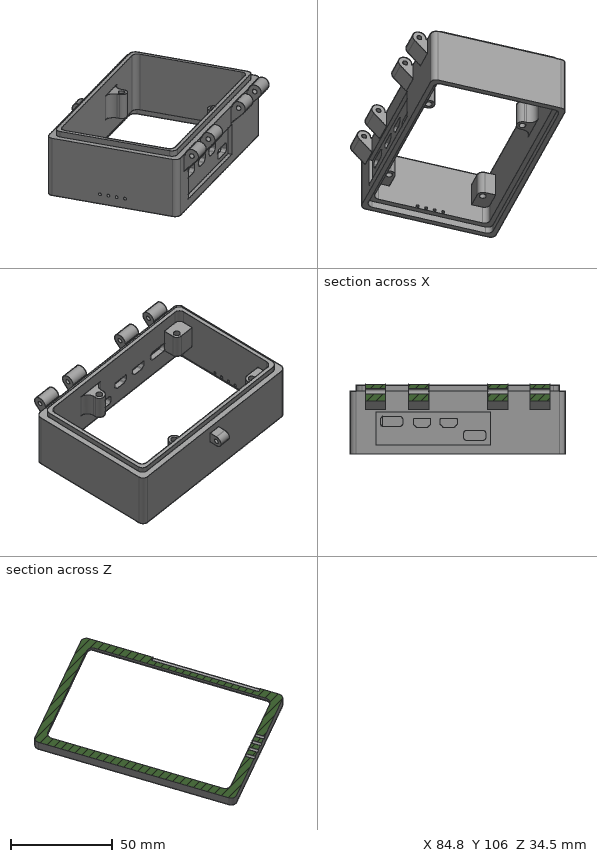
import cadquery as cq
import math

total_width = 84.8
body_length = 106.0
total_height = 34.5

body_width = 70.2
wall = 5.0
ledge = 3.0
corner_radius = 3.0
body_height = 31.1
lip_height = 3.0
rim_height = body_height + lip_height
cavity_width = body_width - 2 * wall
cavity_length = body_length - 2 * wall

rebate_setback = wall / 2
rebate_depth = 3.8

lug_radius = 3.0
lug_reach = 7.0
lug_length = 6.4
lug_axis_z = 24.1
pivot_diameter = 2.4

knuckle_radius = 3.5
knuckle_axis_z = total_height - knuckle_radius
knuckle_length = 10.1
knuckle_outer_x = total_width - body_width / 2 - lug_reach
knuckle_axis_x = knuckle_outer_x - knuckle_radius
knuckle_centres_y = (-40.5, -19.3, 19.7, 40.5)

boss_radius = 3.0
boss_hole_diameter = 3.3
boss_x = 24.5
rear_boss_y = 18.0
boss_spacing_y = 58.0
front_boss_y = rear_boss_y - boss_spacing_y
boss_bottom_z = 13.9
boss_height = 12.9
flare_radius = 4.5

indicator_diameter = 1.4
indicator_count = 4
indicator_pitch = 4.5
indicator_z = 5.2

rear_slot_y = 8.4
rear_slot_z = 9.2
front_slot_y = -32.5
front_slot_z = 16.1
wide_slot_length = 11.0
wide_slot_height = 5.1
wide_slot_corner = 1.7
bevelled_slots_y = (-4.5, -17.6)
bevelled_slot_length = 8.5
bevelled_slot_height = 4.5
bevelled_slot_bevel = 1.6
bevelled_slot_corner = 0.5
bevelled_slot_z = 15.4

recess_margin = 2.1
recess_depth = 2.0


def rounded_block(width, length, height):
    """Upright block with rounded vertical corners, standing on the base plane, centred on Z."""
    block = cq.Workplane("XY").rect(width, length).extrude(height)
    return block.edges("|Z").fillet(corner_radius)


def along_y(centre_y, length):
    """XZ sketch plane whose extrusion of the given length is centred on centre_y."""
    return cq.Workplane("XZ", origin=(0, centre_y + length / 2, 0))


def frame():
    body = rounded_block(body_width, body_length, body_height)
    lip = rounded_block(body_width - 2 * ledge, body_length - 2 * ledge, rim_height)
    cavity = rounded_block(cavity_width, cavity_length, rim_height)
    rebate = rounded_block(
        cavity_width + 2 * rebate_setback, cavity_length + 2 * rebate_setback, rebate_depth
    )
    return body.union(lip).cut(cavity).cut(rebate)


def latch_lug():
    root_x = -body_width / 2
    axis_x = root_x - lug_reach + lug_radius
    lug = (
        along_y(0, lug_length)
        .moveTo(root_x, lug_axis_z - lug_radius)
        .lineTo(axis_x, lug_axis_z - lug_radius)
        .threePointArc((axis_x - lug_radius, lug_axis_z), (axis_x, lug_axis_z + lug_radius))
        .lineTo(root_x, lug_axis_z + lug_radius)
        .close()
        .extrude(lug_length)
    )
    bore = along_y(0, lug_length).center(axis_x, lug_axis_z).circle(pivot_diameter / 2)
    return lug.cut(bore.extrude(lug_length))


def hinge_knuckle(centre_y):
    """Barrel with its axis just below the ledge, carried by a web with a 45 degree underside."""
    root_x = body_width / 2
    tangent = knuckle_radius * math.sqrt(0.5)
    tangent_x = knuckle_axis_x + tangent
    tangent_z = knuckle_axis_z - tangent
    web = (
        along_y(centre_y, knuckle_length)
        .moveTo(root_x, knuckle_axis_z)
        .lineTo(knuckle_axis_x, knuckle_axis_z)
        .lineTo(tangent_x, tangent_z)
        .lineTo(root_x, tangent_z - (tangent_x - root_x))
        .close()
        .extrude(knuckle_length)
    )
    axis = along_y(centre_y, knuckle_length).center(knuckle_axis_x, knuckle_axis_z)
    barrel = axis.circle(knuckle_radius).extrude(knuckle_length)
    bore = axis.circle(pivot_diameter / 2).extrude(knuckle_length)
    return web.union(barrel).cut(bore)


def boss_plane():
    return cq.Workplane("XY", origin=(0, 0, boss_bottom_z))


def rear_boss():
    """Boss on the +X wall, blended into it by a concave arc on each side."""
    wall_x = cavity_width / 2
    flare_x = wall_x - flare_radius
    flare_mid = flare_radius * math.sqrt(0.5)
    side = boss_radius
    outer = boss_radius + flare_radius
    return (
        boss_plane()
        .center(0, rear_boss_y)
        .moveTo(wall_x, outer)
        .threePointArc((flare_x + flare_mid, outer - flare_mid), (flare_x, side))
        .lineTo(boss_x, side)
        .threePointArc((boss_x - boss_radius, 0), (boss_x, -side))
        .lineTo(flare_x, -side)
        .threePointArc((flare_x + flare_mid, flare_mid - outer), (wall_x, -outer))
        .close()
        .extrude(boss_height)
    )


def front_boss():
    """Boss filling the +X, -Y corner of the cavity."""
    width = cavity_width / 2 - boss_x + boss_radius + corner_radius
    length = cavity_length / 2 + front_boss_y + boss_radius + corner_radius
    return (
        boss_plane()
        .center(boss_x - boss_radius + width / 2, front_boss_y + boss_radius - length / 2)
        .rect(width, length)
        .extrude(boss_height)
        .edges("|Z and <X and >Y")
        .fillet(boss_radius)
    )


def bosses():
    right_side = rear_boss().union(front_boss())
    holes = (
        boss_plane()
        .pushPoints([(boss_x, rear_boss_y), (boss_x, front_boss_y)])
        .circle(boss_hole_diameter / 2)
        .extrude(boss_height)
    )
    right_side = right_side.cut(holes)
    return right_side.union(right_side.mirror("YZ"))


def indicator_holes():
    return (
        cq.Workplane("XZ", origin=(0, -cavity_length / 2, indicator_z))
        .rarray(indicator_pitch, 1.1, indicator_count, 1)
        .circle(indicator_diameter / 2)
        .extrude(wall)
    )


def side_wall_plane(centre_y, centre_z):
    """YZ sketch plane on the inner face of the +X wall."""
    return cq.Workplane("YZ", origin=(cavity_width / 2, centre_y, centre_z))


def wide_slot(centre_y, centre_z):
    return (
        side_wall_plane(centre_y, centre_z)
        .rect(wide_slot_length, wide_slot_height)
        .extrude(wall)
        .edges("|X")
        .fillet(wide_slot_corner)
    )


def bevelled_slot(centre_y):
    """Slot with both lower corners bevelled and every corner softened."""
    return (
        side_wall_plane(centre_y, bevelled_slot_z)
        .rect(bevelled_slot_length, bevelled_slot_height)
        .extrude(wall)
        .edges("|X and <Z")
        .chamfer(bevelled_slot_bevel)
        .edges("|X")
        .fillet(bevelled_slot_corner)
    )


def connector_openings():
    cutter = wide_slot(rear_slot_y, rear_slot_z).union(wide_slot(front_slot_y, front_slot_z))
    for centre_y in bevelled_slots_y:
        cutter = cutter.union(bevelled_slot(centre_y))
    return cutter


def plug_recess():
    """Rectangular recess that thins the wall around the connector openings."""
    front_y = front_slot_y - wide_slot_length / 2 - recess_margin
    rear_y = rear_slot_y + wide_slot_length / 2 + recess_margin
    bottom_z = rear_slot_z - wide_slot_height / 2 - recess_margin
    top_z = front_slot_z + wide_slot_height / 2 + recess_margin
    return (
        side_wall_plane((front_y + rear_y) / 2, (bottom_z + top_z) / 2)
        .workplane(offset=wall - recess_depth)
        .rect(rear_y - front_y, top_z - bottom_z)
        .extrude(recess_depth)
    )


result = frame().union(bosses()).union(latch_lug())
for knuckle_y in knuckle_centres_y:
    result = result.union(hinge_knuckle(knuckle_y))
result = result.cut(indicator_holes()).cut(connector_openings()).cut(plug_recess())